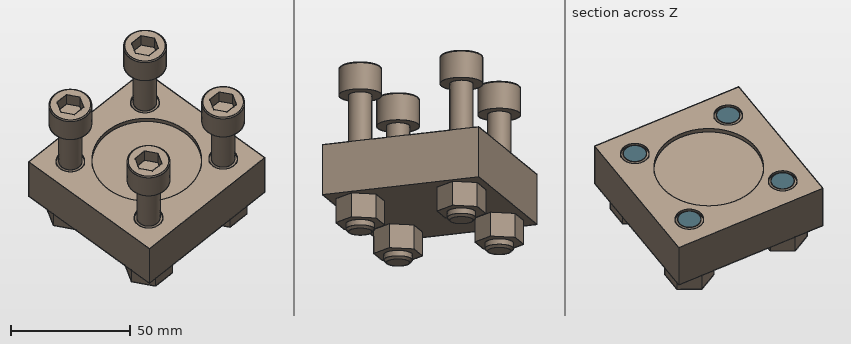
import cadquery as cq
import math

PLATE_SIDE = 70.0
PLATE_THICKNESS = 22.0
POCKET_DIAMETER = 46.0
POCKET_DEPTH = 2.0

BOLT_CIRCLE_DIAMETER = 64.0
SCREW_PITCH = BOLT_CIRCLE_DIAMETER / math.sqrt(2)

OVERALL_HEIGHT = 72
HEAD_DIAMETER = 18
HEAD_HEIGHT = 12.0
HEAD_CHAMFER = 0.5
SOCKET_ACROSS_FLATS = 10.0
SOCKET_DEPTH = 6.0
NECK_DIAMETER = 9.9
NECK_LENGTH = 24.0
THREAD_DIAMETER = 12.0
THREAD_CHAMFER = (THREAD_DIAMETER - NECK_DIAMETER) / 2

NUT_ACROSS_FLATS = 18
NUT_HEIGHT = 10.5

HEAD_BOTTOM = PLATE_THICKNESS + NECK_LENGTH
HEAD_TOP = HEAD_BOTTOM + HEAD_HEIGHT
SCREW_TIP = HEAD_TOP - OVERALL_HEIGHT


def hexagonal_prism(across_flats, bottom, height):
    """Upright hexagonal prism with two of its flats facing -X and +X."""
    across_corners = across_flats / math.cos(math.pi / 6)
    quarter_turn = 90
    return (
        cq.Workplane("XY")
        .workplane(offset=bottom)
        .polygon(6, across_corners)
        .extrude(height)
        .rotate((0, 0, 0), (0, 0, 1), quarter_turn)
    )


def cylinder(diameter, bottom, height):
    """Upright cylinder on the Z axis."""
    return cq.Workplane("XY").workplane(offset=bottom).circle(diameter / 2).extrude(height)


def make_plate():
    """Plate with a shallow round pocket and four screw holes."""
    plate = cq.Workplane("XY").box(PLATE_SIDE, PLATE_SIDE, PLATE_THICKNESS, centered=(True, True, False))
    plate = plate.cut(cylinder(POCKET_DIAMETER, PLATE_THICKNESS - POCKET_DEPTH, POCKET_DEPTH))
    return (
        plate.faces("<Z").workplane()
        .rect(SCREW_PITCH, SCREW_PITCH, forConstruction=True)
        .vertices()
        .hole(THREAD_DIAMETER)
    )


def make_screw_with_nut():
    """Screw standing on the Z axis, with its nut."""
    head = cylinder(HEAD_DIAMETER, HEAD_BOTTOM, HEAD_HEIGHT).faces(">Z").chamfer(HEAD_CHAMFER)
    socket = hexagonal_prism(SOCKET_ACROSS_FLATS, HEAD_TOP - SOCKET_DEPTH, SOCKET_DEPTH)
    neck = cylinder(NECK_DIAMETER, PLATE_THICKNESS, NECK_LENGTH)

    thread_length = PLATE_THICKNESS - SCREW_TIP
    thread = cylinder(THREAD_DIAMETER, SCREW_TIP, thread_length).faces("<Z or >Z").chamfer(THREAD_CHAMFER)

    nut = hexagonal_prism(NUT_ACROSS_FLATS, -NUT_HEIGHT, NUT_HEIGHT)
    return head.cut(socket).union(neck).union(thread).union(nut)


result = make_plate()
screw = make_screw_with_nut()
for x_side in (-1, 1):
    for y_side in (-1, 1):
        position = (x_side * SCREW_PITCH / 2, y_side * SCREW_PITCH / 2, 0)
        result = result.union(screw.translate(position))